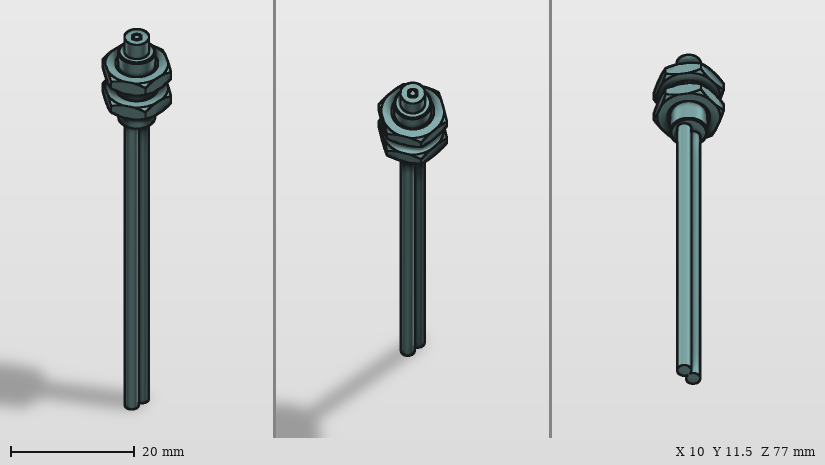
import cadquery as cq
import math

total_height = 77.0

barrel_diameter = 6.0
barrel_length = 14.0
barrel_chamfer = 0.19
tip_diameter = 4.0
tip_length = 3.0

groove_outer_diameter = 1.6
core_diameter = 1.15
groove_depth = 0.2

cable_diameter = 2.3
cable_pitch = 2.2

nut_sides = 6
nut_across_flats = 10.0
nut_thickness = 2.55
nut_chamfer_angle = 40.0
nut_face_diameter = 10.2
nut_countersink_diameter = 6.9
lower_nut_height = 3.85
nut_pitch = 5.1
nut_count = 2

barrel_top = total_height - tip_length
barrel_bottom = barrel_top - barrel_length


def cylinder(diameter, bottom, height):
    return cq.Workplane("XY").workplane(offset=bottom).circle(diameter / 2).extrude(height)


def make_barrel():
    return cylinder(barrel_diameter, barrel_bottom, barrel_length).edges("%CIRCLE").chamfer(barrel_chamfer)


def make_tip():
    tip = cylinder(tip_diameter, barrel_top, tip_length)
    groove_bottom = total_height - groove_depth
    groove = cylinder(groove_outer_diameter, groove_bottom, groove_depth)
    core = cylinder(core_diameter, groove_bottom, groove_depth)
    return tip.cut(groove).union(core)


def make_cables():
    return (
        cq.Workplane("XY")
        .pushPoints([(0, -cable_pitch / 2), (0, cable_pitch / 2)])
        .circle(cable_diameter / 2)
        .extrude(barrel_bottom)
    )


def make_nut(bottom):
    """Hexagonal nut with two corners on the Y axis, chamfered and countersunk on both faces."""
    across_corners = nut_across_flats / math.cos(math.pi / nut_sides)
    corner_radius = across_corners / 2
    face_radius = nut_face_diameter / 2
    corner_drop = (corner_radius - face_radius) * math.tan(math.radians(nut_chamfer_angle))
    bore_radius = barrel_diameter / 2
    countersink_radius = nut_countersink_diameter / 2
    countersink_depth = countersink_radius - bore_radius

    hexagon = cq.Workplane("XY").polygon(nut_sides, across_corners).extrude(nut_thickness)
    hexagon = hexagon.rotate((0, 0, 0), (0, 0, 1), 90)
    turned_limit = (
        cq.Workplane("XZ")
        .moveTo(bore_radius, countersink_depth)
        .lineTo(countersink_radius, 0)
        .lineTo(face_radius, 0)
        .lineTo(corner_radius, corner_drop)
        .lineTo(corner_radius, nut_thickness - corner_drop)
        .lineTo(face_radius, nut_thickness)
        .lineTo(countersink_radius, nut_thickness)
        .lineTo(bore_radius, nut_thickness - countersink_depth)
        .close()
        .revolve(360, (0, 0, 0), (0, 1, 0))
    )
    return hexagon.intersect(turned_limit).translate((0, 0, bottom))


result = make_barrel().union(make_tip()).union(make_cables())
for index in range(nut_count):
    result = result.union(make_nut(barrel_bottom + lower_nut_height + index * nut_pitch))